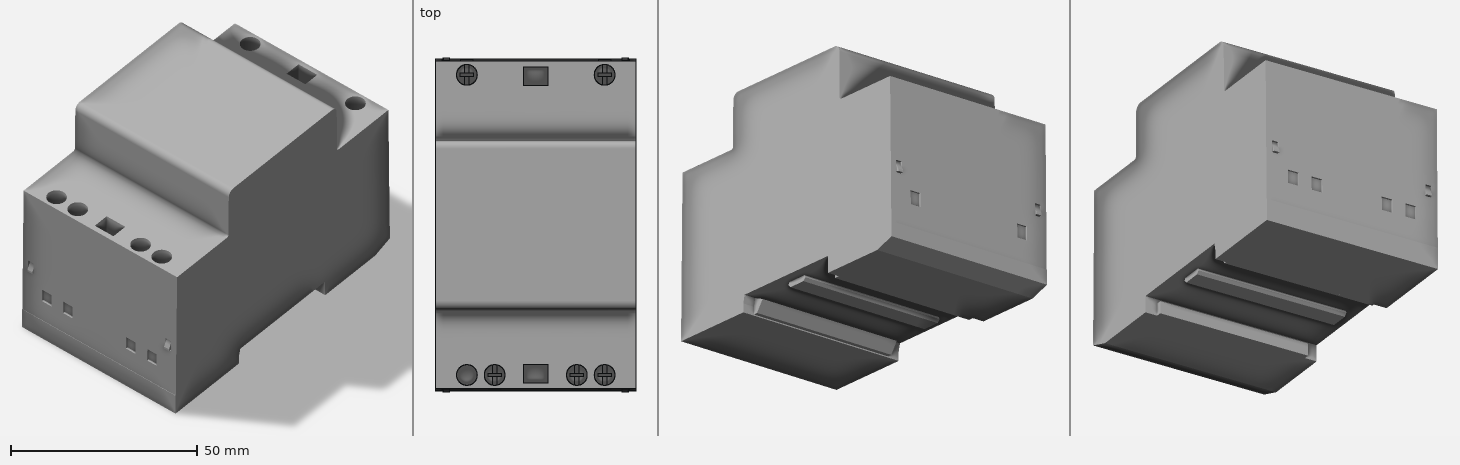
import cadquery as cq

WIDTH = 54.0
LENGTH = 89.8
HEIGHT = 64.9

BASE_HALF_LENGTH = 44.6
BASE_TOP_Z = 6.5
CHANNEL_TOP_Z = 4.9
CHANNEL_HALF_LENGTH = 17.7
CHANNEL_UNDERCUT = 0.5
CHANNEL_UNDERCUT_Z = 2.6
END_BEVEL_LENGTH = 6.1
END_BEVEL_HEIGHT = 2.1

GRIP_INSET = 3.7
HOOK_LENGTH = 1.6
HOOK_HEIGHT = 3.7
LATCH_TIP_Y = -14.55
LATCH_TIP_Z = 3.7
LATCH_TOE_Y = -16.9
LATCH_TOE_Z = 0.4
PAD_HALF_LENGTH = 3.6
PAD_SHOULDER_Z = 4.2
PAD_BOTTOM_Z = 3.3
PAD_BEVEL = 0.8
PAD_TOP_BEVEL = 0.4

BODY_HALF_LENGTH = 44.5
SHELF_HALF_LENGTH = 44.0
SHELF_Z = 48.85
TOWER_FOOT_HALF_LENGTH = 22.6
TOWER_TOP_HALF_LENGTH = 22.45
TOWER_EDGE_RADIUS = 2.0
TOWER_FOOT_RADIUS = 0.6

WELL_OUTER_X = 18.5
WELL_INNER_X = 11.05
WELL_Y = 40.3
WELL_DIAMETER = 5.6
WELL_DEPTH = 7.2
CROSS_SLOT_WIDTH = 1.2
CROSS_SLOT_DEPTH = 0.5
DRIVE_SLOT_LENGTH = 3.7
DRIVE_SLOT_WIDTH = 0.9
DRIVE_SLOT_DEPTH = 1.1

POCKET_WIDTH = 6.6
POCKET_LENGTH = 4.9
POCKET_Y = 40.0
POCKET_DEPTH = 7.2

WINDOW_WIDTH = 3.3
WINDOW_HEIGHT = 4.0
WINDOW_Z = 15.3
WINDOW_FLOOR_Y = 43.8

CATCH_X = 24.2
CATCH_WIDTH = 2.0
CATCH_BOTTOM_Z = 21.3
CATCH_TOP_Z = 24.9
CATCH_FLOOR_Y = 43.6
CATCH_NOSE_HEIGHT = 0.6
CATCH_GAP = 0.3
CATCH_ROOT = 0.9

SIDES = (-1, 1)
BLANK_WELL = (-WELL_OUTER_X, -1)
SCREW_WELLS = [
    (-WELL_INNER_X, -1),
    (WELL_INNER_X, -1),
    (WELL_OUTER_X, -1),
    (-WELL_OUTER_X, 1),
    (WELL_OUTER_X, 1),
]
ALL_WELLS = [BLANK_WELL] + SCREW_WELLS


def extrude_across(points, width, center_x=0.0):
    """Extrude a closed (y, z) outline along X, centred on center_x."""
    return cq.Workplane("YZ", origin=(center_x - width / 2, 0, 0)).polyline(points).close().extrude(width)


def box(size, center):
    return cq.Workplane("XY").box(*size).translate(center)


def make_base():
    channel_foot = CHANNEL_HALF_LENGTH + CHANNEL_UNDERCUT
    return extrude_across(
        [
            (-BASE_HALF_LENGTH, 0),
            (-channel_foot, 0),
            (-channel_foot, CHANNEL_UNDERCUT_Z),
            (-CHANNEL_HALF_LENGTH, CHANNEL_TOP_Z),
            (CHANNEL_HALF_LENGTH, CHANNEL_TOP_Z),
            (CHANNEL_HALF_LENGTH, 0),
            (BASE_HALF_LENGTH - END_BEVEL_LENGTH, 0),
            (BASE_HALF_LENGTH, END_BEVEL_HEIGHT),
            (BASE_HALF_LENGTH, BASE_TOP_Z),
            (-BASE_HALF_LENGTH, BASE_TOP_Z),
        ],
        WIDTH,
    )


def make_body():
    half_outline = [
        (BODY_HALF_LENGTH, BASE_TOP_Z),
        (SHELF_HALF_LENGTH, SHELF_Z),
        (TOWER_FOOT_HALF_LENGTH, SHELF_Z),
        (TOWER_TOP_HALF_LENGTH, HEIGHT),
    ]
    mirrored_half = [(-y, z) for y, z in reversed(half_outline)]
    body = extrude_across(half_outline + mirrored_half, WIDTH)
    body = body.faces(">Z").edges("|X").fillet(TOWER_EDGE_RADIUS)
    for side in SIDES:
        foot_point = (0, side * TOWER_FOOT_HALF_LENGTH, SHELF_Z)
        body = body.edges(cq.NearestToPointSelector(foot_point)).fillet(TOWER_FOOT_RADIUS)
    return body


def make_rail_grips():
    grip_width = WIDTH - 2 * GRIP_INSET
    hook = box(
        (grip_width, 2 * HOOK_LENGTH, HOOK_HEIGHT),
        (0, CHANNEL_HALF_LENGTH, HOOK_HEIGHT / 2),
    )
    latch_root_y = -CHANNEL_HALF_LENGTH - 2 * CHANNEL_UNDERCUT
    latch = extrude_across(
        [
            (latch_root_y, CHANNEL_TOP_Z),
            (-CHANNEL_HALF_LENGTH, CHANNEL_TOP_Z),
            (LATCH_TIP_Y, LATCH_TIP_Z),
            (LATCH_TOE_Y, LATCH_TOE_Z),
            (latch_root_y, LATCH_TOE_Z),
        ],
        grip_width,
    )
    pad_top = PAD_HALF_LENGTH - PAD_TOP_BEVEL
    pad_bottom = PAD_HALF_LENGTH - PAD_BEVEL
    pad = extrude_across(
        [
            (-pad_top, BASE_TOP_Z),
            (-pad_top, CHANNEL_TOP_Z),
            (-PAD_HALF_LENGTH, PAD_SHOULDER_Z),
            (-pad_bottom, PAD_BOTTOM_Z),
            (pad_bottom, PAD_BOTTOM_Z),
            (PAD_HALF_LENGTH, PAD_SHOULDER_Z),
            (pad_top, CHANNEL_TOP_Z),
            (pad_top, BASE_TOP_Z),
        ],
        grip_width,
    )
    return hook.union(latch).union(pad)


def make_well(x, end):
    floor_z = SHELF_Z - WELL_DEPTH
    return cq.Workplane("XY", origin=(x, end * WELL_Y, floor_z)).circle(WELL_DIAMETER / 2).extrude(WELL_DEPTH)


def make_screw_slots(x, end):
    """Cross slot over the whole screw head with a deeper, shorter driver slot across it."""
    head_z = SHELF_Z - WELL_DEPTH
    head = (
        cq.Workplane("XY", origin=(x, end * WELL_Y, head_z - CROSS_SLOT_DEPTH))
        .circle(WELL_DIAMETER / 2)
        .extrude(CROSS_SLOT_DEPTH)
    )
    cross_slot = head.intersect(
        box(
            (CROSS_SLOT_WIDTH, WELL_DIAMETER, CROSS_SLOT_DEPTH),
            (x, end * WELL_Y, head_z - CROSS_SLOT_DEPTH / 2),
        )
    )
    drive_slot = box(
        (DRIVE_SLOT_LENGTH, DRIVE_SLOT_WIDTH, DRIVE_SLOT_DEPTH),
        (x, end * WELL_Y, head_z - DRIVE_SLOT_DEPTH / 2),
    )
    return cross_slot.union(drive_slot)


def make_shelf_pocket(end):
    return box(
        (POCKET_WIDTH, POCKET_LENGTH, POCKET_DEPTH),
        (0, end * POCKET_Y, SHELF_Z - POCKET_DEPTH / 2),
    )


def make_wall_recess(x, end, width, height, center_z, floor_y):
    """Rectangular cutter from a floor inside the end wall out to the full length."""
    depth = LENGTH / 2 - floor_y
    return box((width, depth, height), (x, end * (floor_y + depth / 2), center_z))


def make_catch_recess(side, end):
    return make_wall_recess(
        side * CATCH_X,
        end,
        CATCH_WIDTH,
        CATCH_TOP_Z - CATCH_BOTTOM_Z,
        (CATCH_TOP_Z + CATCH_BOTTOM_Z) / 2,
        CATCH_FLOOR_Y,
    )


def make_catch(side, end):
    """Wedge that ramps out of its recess to a blunt nose beyond the end wall.

    A gap is left above, below and on the outer side of the wedge; its root sinks into the body.
    """
    bottom_z = CATCH_BOTTOM_Z + CATCH_GAP
    top_z = CATCH_TOP_Z - CATCH_GAP
    nose_y = end * LENGTH / 2
    root_y = end * (CATCH_FLOOR_Y - CATCH_ROOT)
    outline = [
        (end * CATCH_FLOOR_Y, top_z),
        (nose_y, bottom_z + CATCH_NOSE_HEIGHT),
        (nose_y, bottom_z),
        (root_y, bottom_z),
        (root_y, top_z),
    ]
    center_x = side * (CATCH_X - CATCH_GAP / 2)
    return extrude_across(outline, CATCH_WIDTH - CATCH_GAP, center_x)


result = make_base().union(make_body()).union(make_rail_grips())

for well_x, well_end in ALL_WELLS:
    result = result.cut(make_well(well_x, well_end))
    result = result.cut(
        make_wall_recess(well_x, well_end, WINDOW_WIDTH, WINDOW_HEIGHT, WINDOW_Z, WINDOW_FLOOR_Y)
    )

for well_x, well_end in SCREW_WELLS:
    result = result.cut(make_screw_slots(well_x, well_end))

for housing_end in SIDES:
    result = result.cut(make_shelf_pocket(housing_end))
    for housing_side in SIDES:
        result = result.cut(make_catch_recess(housing_side, housing_end))
        result = result.union(make_catch(housing_side, housing_end))